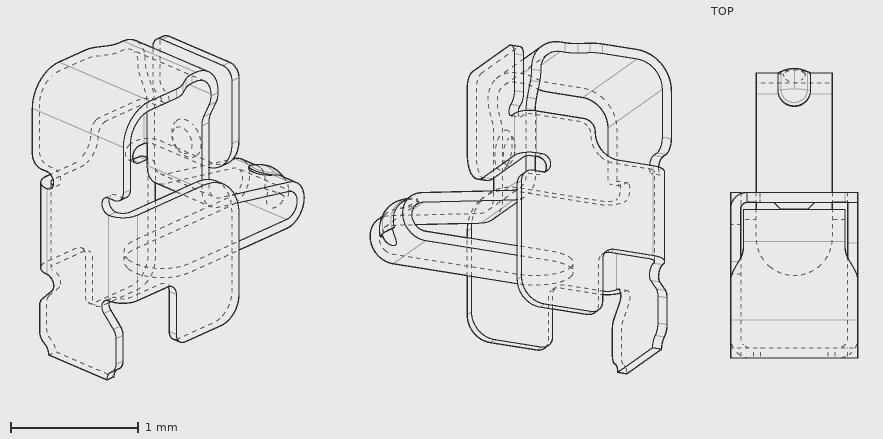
import cadquery as cq
import math


width = 1.0
depth = 2.28
height = 2.4
thickness = 0.08
half_width = width / 2

front_bend_radius = 0.3
back_bend_radius = 0.25
back_plate_y = 1.17
hoop_back_half_width = 0.4
corner_radius = 0.1
taper_radius = 0.2
top_taper_start_y = 0.652
top_taper_end_y = 0.826
back_taper_start_z = 2.087
back_taper_end_z = 1.883

tip_half_width = 0.32
tail_half_width = 0.42
tip_curve_angle = math.radians(60)
notch_radius = 0.075
notch_diameter = 2 * notch_radius

ear_bend_radius = 0.16
ear_bend_x = half_width - ear_bend_radius
ear_bottom_z = 0.70
ear_top_z = 1.45
ear_foot_z = 0.15
ear_front_y = 0.598
ear_back_y = 1.305
foot_back_radius = 0.2
right_ear_back_radius = 0.4
left_ear_step_y = 0.662
left_ear_top_z = 1.753
left_ear_step_radius = 0.2

panel_bend_radius = 0.13
panel_bend_x = -half_width + panel_bend_radius
panel_bend_y = ear_back_y - panel_bend_radius
panel_bottom_z = 1.403
panel_top_z = 2.352
panel_left_x = -0.37
panel_low_corner_radius = 0.3
panel_notch_radius = 0.05
panel_notch_x = -0.27
panel_notch_angle = math.radians(70)
panel_notch_z = left_ear_top_z + panel_notch_radius
ear_notch_y = 1.127

spring_width = 0.6
spring_half_width = spring_width / 2
spring_slope = math.radians(10)
spring_bend_radius = 0.15
spring_bottom_z = 0.6
loop_radius = 0.2
spring_tip_y = 0.65

bump_height = 0.035
bump_half_width = 0.128
crown_half_width = 0.104
crown_edge_height = 0.01
bump_tilt = 18
bump_sweep = 90

dimple_height = 0.05
dimple_base_radius = 0.16
dimple_top_radius = 0.11

loop_y = depth - bump_height - loop_radius
loop_z = spring_bottom_z + loop_radius
bump_crown = loop_radius + bump_height
spring_bend_y = back_plate_y + spring_bend_radius
spring_bend_z = loop_z + (
    loop_radius + spring_bend_radius + (loop_y - spring_bend_y) * math.sin(spring_slope)
) / math.cos(spring_slope)
hoop_bend_z = height - front_bend_radius
back_bend_z = height - back_bend_radius
back_bend_y = back_plate_y - back_bend_radius

TINY = 1e-6


def rounded_outline(plane, corners):
    """Closed outline from (u, v, radius) corners; radius 0 leaves a sharp corner."""
    sketch = cq.Workplane(plane)
    last = None
    for index, (u, v, radius) in enumerate(corners):
        corner = cq.Vector(u, v)
        before = cq.Vector(*corners[index - 1][:2]) - corner
        after = cq.Vector(*corners[(index + 1) % len(corners)][:2]) - corner
        if radius == 0:
            start = middle = end = corner
        else:
            before = before.normalized()
            after = after.normalized()
            half_angle = before.getAngle(after) / 2
            tangent_length = radius / math.tan(half_angle)
            start = corner + before * tangent_length
            end = corner + after * tangent_length
            bisector = (before + after).normalized()
            middle = corner + bisector * (radius / math.sin(half_angle) - radius)
        if last is None:
            sketch = sketch.moveTo(start.x, start.y)
        elif (start - last).Length > TINY:
            sketch = sketch.lineTo(start.x, start.y)
        if radius > 0:
            sketch = sketch.threePointArc((middle.x, middle.y), (end.x, end.y))
        last = end
    return sketch.close()


def mirrored(half_corners):
    """Close a half outline, listed at +u, with its mirror image at -u."""
    return half_corners + [(-u, v, radius) for u, v, radius in reversed(half_corners)]


def polar(center_y, center_z, radius, angle):
    """Point in the YZ plane at an angle measured from +Y towards +Z."""
    return (center_y + radius * math.cos(angle), center_z + radius * math.sin(angle))


def start_arc(path, center_y, center_z, radius, start_angle, end_angle):
    """Begin a YZ path with an arc."""
    middle = polar(center_y, center_z, radius, (start_angle + end_angle) / 2)
    path = path.moveTo(*polar(center_y, center_z, radius, start_angle))
    return path.threePointArc(middle, polar(center_y, center_z, radius, end_angle))


def add_arc(path, center_y, center_z, radius, start_angle, end_angle):
    """Continue a YZ path with a line to an arc and the arc itself."""
    middle = polar(center_y, center_z, radius, (start_angle + end_angle) / 2)
    path = path.lineTo(*polar(center_y, center_z, radius, start_angle))
    return path.threePointArc(middle, polar(center_y, center_z, radius, end_angle))


def quarter_bend(center_x, center_y, outer_radius, side_x, side_y, bottom, top):
    """Vertical quarter bend; side_x and side_y point from its centre to the outer corner."""
    tube = (
        cq.Workplane("XY", origin=(center_x, center_y, bottom))
        .circle(outer_radius)
        .circle(outer_radius - thickness)
        .extrude(top - bottom)
    )
    quadrant = (
        cq.Workplane("XY", origin=(center_x, center_y, bottom))
        .rect(side_x * outer_radius, side_y * outer_radius, centered=False)
        .extrude(top - bottom)
    )
    return tube.intersect(quadrant)


def make_front_plate():
    curve_rise = corner_radius * math.tan(tip_curve_angle / 2)
    tail_corner_z = curve_rise + (tail_half_width - tip_half_width) / math.tan(tip_curve_angle)
    notch_x = ear_bend_x - notch_radius
    diagonal_z = ear_bottom_z - notch_radius * (1 + math.tan(math.pi / 8))
    tail_top_z = diagonal_z - (tail_half_width - notch_x)
    upper_notch_z = ear_top_z + notch_diameter
    half = [
        (tip_half_width, 0, 0),
        (tip_half_width, curve_rise, corner_radius),
        (tail_half_width, tail_corner_z, corner_radius),
        (tail_half_width, tail_top_z, corner_radius),
        (notch_x, diagonal_z, notch_radius),
        (notch_x, ear_bottom_z, notch_radius),
        (ear_bend_x, ear_bottom_z, 0),
        (ear_bend_x, ear_top_z, 0),
        (notch_x, ear_top_z, notch_radius),
        (notch_x, upper_notch_z, notch_radius),
        (half_width, upper_notch_z, corner_radius),
        (half_width, hoop_bend_z, 0),
    ]
    return rounded_outline("XZ", mirrored(half)).extrude(-thickness)


def make_top():
    """Top plate with both hoop bends, narrowing towards the back."""
    inner_front = front_bend_radius - thickness
    inner_back = back_bend_radius - thickness
    up = math.pi / 2
    profile = cq.Workplane("YZ", origin=(-half_width, 0, 0))
    profile = start_arc(profile, front_bend_radius, hoop_bend_z, front_bend_radius, math.pi, up)
    profile = add_arc(profile, back_bend_y, back_bend_z, back_bend_radius, up, 0)
    profile = add_arc(profile, back_bend_y, back_bend_z, inner_back, 0, up)
    profile = add_arc(profile, front_bend_radius, hoop_bend_z, inner_front, up, math.pi)
    half = [
        (half_width, 0, 0),
        (half_width, top_taper_start_y, taper_radius),
        (hoop_back_half_width, top_taper_end_y, taper_radius),
        (hoop_back_half_width, back_plate_y, 0),
    ]
    planform = rounded_outline("XY", mirrored(half)).extrude(height)
    return profile.close().extrude(width).intersect(planform)


def make_back_plate():
    half = [
        (spring_half_width, spring_bend_z, 0),
        (spring_half_width, back_taper_end_z, taper_radius),
        (hoop_back_half_width, back_taper_start_z, taper_radius),
        (hoop_back_half_width, back_bend_z, 0),
    ]
    plate = rounded_outline("XZ", mirrored(half)).extrude(-thickness)
    return plate.translate((0, back_plate_y - thickness, 0))


def make_spring():
    """Bend below the back plate, sloping upper leg, loop and lower leg with a round tip."""
    outer_bend = spring_bend_radius + thickness
    inner_loop = loop_radius - thickness
    bend_end = 1.5 * math.pi - spring_slope
    loop_start = math.pi / 2 - spring_slope
    down = -math.pi / 2
    bend = (spring_bend_y, spring_bend_z)
    profile = cq.Workplane("YZ", origin=(-spring_half_width, 0, 0))
    profile = start_arc(profile, *bend, spring_bend_radius, math.pi, bend_end)
    profile = add_arc(profile, loop_y, loop_z, loop_radius, loop_start, down)
    profile = profile.lineTo(spring_tip_y, spring_bottom_z)
    profile = profile.lineTo(spring_tip_y, spring_bottom_z + thickness)
    profile = add_arc(profile, loop_y, loop_z, inner_loop, down, loop_start)
    profile = add_arc(profile, *bend, outer_bend, bend_end, math.pi)
    planform = (
        cq.Workplane("XY")
        .moveTo(-spring_half_width, depth)
        .lineTo(-spring_half_width, spring_tip_y + spring_half_width)
        .threePointArc((0, spring_tip_y), (spring_half_width, spring_tip_y + spring_half_width))
        .lineTo(spring_half_width, depth)
        .close()
        .extrude(height)
    )
    return profile.close().extrude(spring_width).intersect(planform)


def bump_half_section():
    """Half cross-section of the bump, with the loop's centre as origin."""
    root = loop_radius - thickness / 2
    edge = loop_radius + crown_edge_height
    crown_mid = (crown_half_width / 2, bump_crown - (bump_crown - edge) / 4)
    return (
        cq.Workplane("XZ")
        .moveTo(0, root)
        .lineTo(bump_half_width, root)
        .lineTo(bump_half_width, loop_radius)
        .lineTo(crown_half_width, edge)
        .threePointArc(crown_mid, (0, bump_crown))
        .close()
    )


def make_bump():
    """Crowned bump that wraps around the outside of the loop."""
    band_half = bump_half_section().revolve(bump_sweep, (0, 0, 0), (-1, 0, 0))
    band = band_half.union(band_half.mirror("YZ"))
    dome = bump_half_section().revolve(180, (0, 0, 0), (0, -1, 0))
    ball = (
        cq.Workplane("XY")
        .sphere(bump_half_width)
        .translate((0, 0, bump_crown - bump_half_width))
        .rotate((0, 0, 0), (1, 0, 0), -bump_sweep)
    )
    hollow = cq.Workplane("YZ").circle(loop_radius - thickness / 2).extrude(width, both=True)
    bump = band.union(dome).union(ball.cut(hollow))
    return bump.rotate((0, 0, 0), (1, 0, 0), -bump_tilt).translate((0, loop_y, loop_z))


def make_dimple():
    """Tapered stop, centred on the height of the panel's bend to the left ear."""
    root_y = ear_back_y - thickness / 2
    base_y = ear_back_y - thickness
    top_y = base_y - dimple_height
    dimple = (
        cq.Workplane("XY")
        .moveTo(0, root_y)
        .lineTo(dimple_base_radius, root_y)
        .lineTo(dimple_base_radius, base_y)
        .lineTo(dimple_top_radius, top_y)
        .lineTo(0, top_y)
        .close()
        .revolve(360, (0, 0, 0), (0, 1, 0))
    )
    return dimple.translate((0, 0, (panel_bottom_z + left_ear_top_z) / 2))


def ear_foot():
    """Lower edge shared by both ears, from the front bend to the back edge."""
    return [
        (ear_bend_radius, ear_bottom_z, 0),
        (ear_front_y, ear_bottom_z, corner_radius),
        (ear_front_y, ear_foot_z, corner_radius),
        (ear_back_y, ear_foot_z, foot_back_radius),
    ]


def make_front_bend(side):
    return quarter_bend(
        side * ear_bend_x, ear_bend_radius, ear_bend_radius, side, -1, ear_bottom_z, ear_top_z
    )


def make_right_ear():
    corners = ear_foot() + [
        (ear_back_y, ear_top_z, right_ear_back_radius),
        (ear_bend_radius, ear_top_z, 0),
    ]
    ear = rounded_outline("YZ", corners).extrude(-thickness).translate((half_width, 0, 0))
    return ear.union(make_front_bend(1))


def make_left_ear():
    notch_bottom_z = panel_bottom_z - notch_diameter
    notch_tip_y = ear_notch_y - notch_radius
    corners = ear_foot() + [
        (ear_back_y, notch_bottom_z, corner_radius),
        (notch_tip_y, notch_bottom_z, notch_radius),
        (notch_tip_y, panel_bottom_z, notch_radius),
        (panel_bend_y, panel_bottom_z, 0),
        (panel_bend_y, left_ear_top_z, 0),
        (left_ear_step_y, left_ear_top_z, corner_radius),
        (left_ear_step_y, ear_top_z, left_ear_step_radius),
        (ear_bend_radius, ear_top_z, 0),
    ]
    ear = rounded_outline("YZ", corners).extrude(thickness).translate((-half_width, 0, 0))
    return ear.union(make_front_bend(-1))


def make_back_panel():
    notch_corner_z = panel_notch_z + panel_notch_radius * math.tan(panel_notch_angle / 2)
    edge_corner_z = notch_corner_z + (panel_notch_x - panel_left_x) / math.tan(panel_notch_angle)
    corners = [
        (panel_bend_x, panel_bottom_z, 0),
        (half_width, panel_bottom_z, panel_low_corner_radius),
        (half_width, panel_top_z, corner_radius),
        (panel_left_x, panel_top_z, corner_radius),
        (panel_left_x, edge_corner_z, corner_radius),
        (panel_notch_x, notch_corner_z, panel_notch_radius),
        (panel_notch_x, left_ear_top_z, panel_notch_radius),
        (panel_bend_x, left_ear_top_z, 0),
    ]
    panel = rounded_outline("XZ", corners).extrude(-thickness)
    panel = panel.translate((0, ear_back_y - thickness, 0))
    bend = quarter_bend(
        panel_bend_x, panel_bend_y, panel_bend_radius, -1, 1, panel_bottom_z, left_ear_top_z
    )
    return panel.union(bend)


result = (
    make_front_plate()
    .union(make_top())
    .union(make_back_plate())
    .union(make_spring())
    .union(make_bump())
    .union(make_dimple())
    .union(make_right_ear())
    .union(make_left_ear())
    .union(make_back_panel())
)